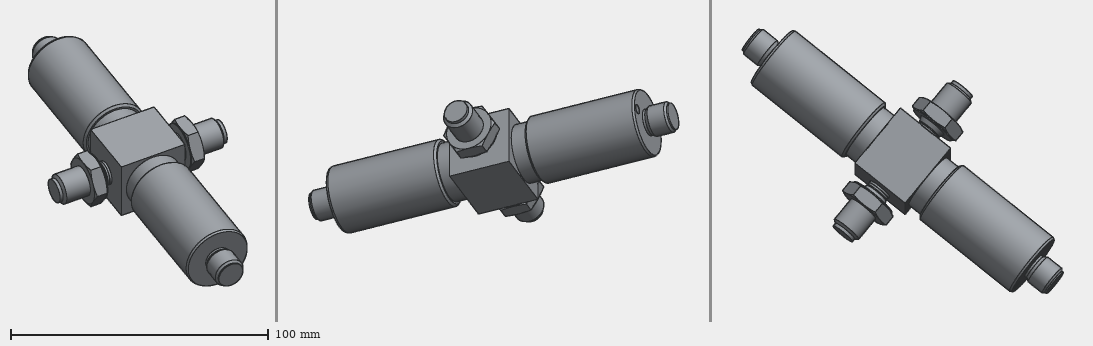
import cadquery as cq
import math

OVERALL_LENGTH = 152.5
OVERALL_WIDTH = 74.0

BLOCK_X = 25.2
BLOCK_Y = 28.0
BLOCK_Z = 25.2

NECK_RADIUS = 11.82
BARREL_RADIUS = 13.5
BARREL_START = 18.8
BARREL_END = 65.4
BARREL_CHAMFER_LENGTH = 0.9
BARREL_OUTER_CHAMFER_DEPTH = 0.5
BARREL_INNER_CHAMFER_DEPTH = 0.9

STUB_RADIUS = 6.18
STUB_RELIEF_RADIUS = 5.3
STUB_RUNOUT_LENGTH = 1.4
STUB_THREAD_LENGTH = 7.0
STUB_CHAMFER = STUB_RADIUS - STUB_RELIEF_RADIUS
STUB_TIP_LENGTH = 0.6

MARK_RADIUS = 1.8
MARK_OFFSET_Y = 9.9
MARK_DEPTH = 0.2

FITTING_RADIUS = 6.18
FITTING_RELIEF_RADIUS = 4.9
FITTING_RELIEF_LENGTH = 2.3
FITTING_CONE_RADIUS = 5.8
FITTING_TIP_LENGTH = 1.4
FITTING_TIP_CHAMFER_LENGTH = 0.9
GROOVE_START = 0.9
GROOVE_WIDTH = 0.9
GROOVE_DEPTH = 0.2
HEX_FLATS = 18.9
HEX_CORNERS = HEX_FLATS / math.cos(math.pi / 6)
HEX_START = 18.3
HEX_END = 24.2
HEX_COLLAR_LENGTH = 0.5
HEX_BEVEL_ANGLE = math.radians(20)


def turned(points):
    """Revolve (position along X, radius) points around the X axis, closed along the axis."""
    outline = [(points[0][0], 0), *points, (points[-1][0], 0)]
    return cq.Workplane("XY").polyline(outline).close().revolve(360, (0, 0, 0), (1, 0, 0))


def sensor_side():
    """Neck, barrel and connector stub that point along +X."""
    tip = OVERALL_LENGTH / 2
    thread_end = tip - STUB_TIP_LENGTH - STUB_CHAMFER
    thread_start = thread_end - STUB_THREAD_LENGTH
    inner_edge = BARREL_RADIUS - BARREL_INNER_CHAMFER_DEPTH
    outer_edge = BARREL_RADIUS - BARREL_OUTER_CHAMFER_DEPTH
    return turned([
        (0, NECK_RADIUS),
        (BARREL_START, NECK_RADIUS),
        (BARREL_START, inner_edge),
        (BARREL_START + BARREL_CHAMFER_LENGTH, BARREL_RADIUS),
        (BARREL_END - BARREL_CHAMFER_LENGTH, BARREL_RADIUS),
        (BARREL_END, outer_edge),
        (BARREL_END, STUB_RELIEF_RADIUS),
        (thread_start - STUB_RUNOUT_LENGTH, STUB_RELIEF_RADIUS),
        (thread_start, STUB_RADIUS),
        (thread_end, STUB_RADIUS),
        (tip - STUB_TIP_LENGTH, STUB_RELIEF_RADIUS),
        (tip, STUB_RELIEF_RADIUS),
    ])


def make_housing():
    """Block with a sensor barrel on each X side."""
    block = cq.Workplane("XY").box(BLOCK_X, BLOCK_Y, BLOCK_Z)
    right_side = sensor_side()
    left_side = right_side.mirror("YZ")
    mark = (
        cq.Workplane("YZ", origin=(-BARREL_END, MARK_OFFSET_Y, 0))
        .circle(MARK_RADIUS)
        .extrude(MARK_DEPTH)
    )
    return block.union(right_side).union(left_side).cut(mark)


def fitting_hexagon():
    """Hexagon across the X axis, corners bevelled at both ends, round collar at the inner end."""
    prism = (
        cq.Workplane("YZ", origin=(HEX_START, 0, 0))
        .polygon(6, HEX_CORNERS)
        .extrude(HEX_END - HEX_START)
    )
    flat_radius = HEX_FLATS / 2
    corner_radius = HEX_CORNERS / 2
    bevel_length = (corner_radius - flat_radius) * math.tan(HEX_BEVEL_ANGLE)
    collar_end = HEX_START + HEX_COLLAR_LENGTH
    envelope = turned([
        (HEX_START, flat_radius),
        (collar_end, flat_radius),
        (collar_end + bevel_length, corner_radius),
        (HEX_END - bevel_length, corner_radius),
        (HEX_END, flat_radius),
    ])
    return prism.intersect(envelope)


def make_fitting(turn):
    """Fitting seated on the block face, turned about Z from the +X direction."""
    seat = BLOCK_Y / 2
    tip = OVERALL_WIDTH / 2
    groove_radius = FITTING_RELIEF_RADIUS - GROOVE_DEPTH
    groove_start = seat + GROOVE_START
    groove_end = groove_start + GROOVE_WIDTH
    shank_end = tip - FITTING_TIP_LENGTH
    shank = turned([
        (seat, FITTING_RELIEF_RADIUS),
        (groove_start, FITTING_RELIEF_RADIUS),
        (groove_start, groove_radius),
        (groove_end, groove_radius),
        (groove_end, FITTING_RELIEF_RADIUS),
        (seat + FITTING_RELIEF_LENGTH, FITTING_RELIEF_RADIUS),
        (HEX_START, FITTING_CONE_RADIUS),
        (HEX_START, FITTING_RADIUS),
        (shank_end - FITTING_TIP_CHAMFER_LENGTH, FITTING_RADIUS),
        (shank_end, FITTING_RELIEF_RADIUS),
        (tip, FITTING_RELIEF_RADIUS),
    ])
    return shank.union(fitting_hexagon()).rotate((0, 0, 0), (0, 0, 1), turn)


housing = make_housing()
fittings = [make_fitting(turn) for turn in (-90, 90)]

result = cq.Compound.makeCompound([housing.val(), *[fitting.val() for fitting in fittings]])